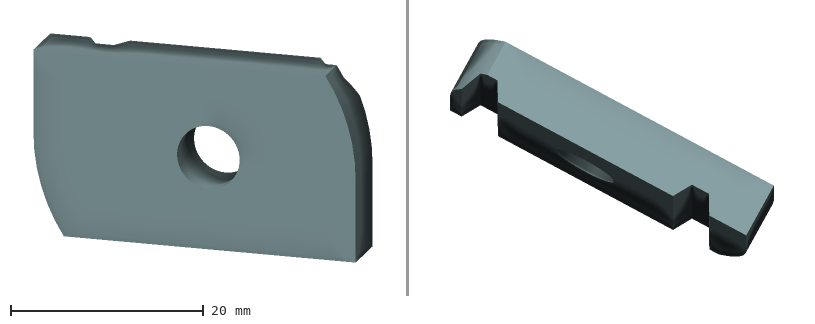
import cadquery as cq
import math

length = 35.0
thickness = 6.0
height = 20.0

straight_end = 9.0
end_radius = 20.0

hole_diameter = 6.8
hole_offset = 1.5

groove_spacing = 25.0
groove_depth = 2.0
groove_floor = 2.0
groove_flank_angle = 30.0

half_length = length / 2
half_height = height / 2
half_thickness = thickness / 2


def plate():
    """Plate with diagonally opposite rounded corners, centred on the origin."""
    arc_height = height - straight_end
    arc_inset = end_radius - math.sqrt(end_radius**2 - arc_height**2)
    tangent_z = half_height - straight_end
    mid_height = arc_height / 2
    mid_inset = end_radius - math.sqrt(end_radius**2 - mid_height**2)
    return (
        cq.Workplane("XZ", origin=(0, half_thickness, 0))
        .moveTo(-half_length, half_height)
        .lineTo(-half_length, tangent_z)
        .threePointArc(
            (-half_length + mid_inset, tangent_z - mid_height),
            (-half_length + arc_inset, -half_height),
        )
        .lineTo(half_length, -half_height)
        .lineTo(half_length, -tangent_z)
        .threePointArc(
            (half_length - mid_inset, mid_height - tangent_z),
            (half_length - arc_inset, half_height),
        )
        .close()
        .extrude(thickness)
    )


def hole():
    """Cylinder through the full thickness."""
    return (
        cq.Workplane("XZ", origin=(hole_offset, half_thickness, 0))
        .circle(hole_diameter / 2)
        .extrude(thickness)
    )


def groove(center_x):
    """Cutter for one groove running the full height of the back face."""
    half_floor = groove_floor / 2
    half_mouth = half_floor + groove_depth * math.tan(math.radians(groove_flank_angle))
    floor_y = half_thickness - groove_depth
    return (
        cq.Workplane("XY", origin=(center_x, 0, -half_height))
        .polyline([
            (-half_mouth, half_thickness),
            (-half_floor, floor_y),
            (half_floor, floor_y),
            (half_mouth, half_thickness),
        ])
        .close()
        .extrude(height)
    )


result = plate().cut(hole())
for side in (-1, 1):
    result = result.cut(groove(hole_offset + side * groove_spacing / 2))